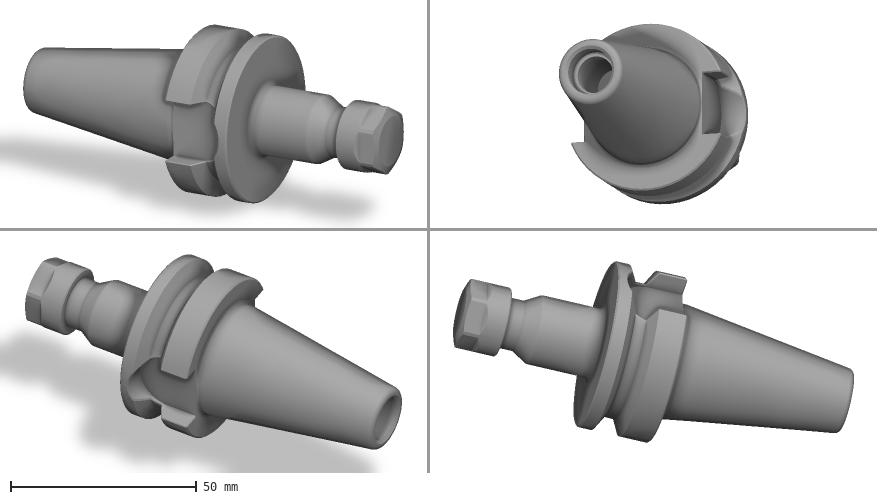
import cadquery as cq
import math

taper_length = 48.3
gauge_diameter = 31.8
taper_ratio = 7 / 24
taper_end_radius = 1.6
flange_root_radius = 0.9

mouth_diameter = 14.0
pilot_diameter = 12.5
pilot_depth = 5.5
mouth_depth = 0.8
thread_diameter = 10.1
thread_depth = 23.8

flange_start = 50.4
flange_end = 70.2
flange_diameter = 46.0
flange_chamfer = 0.4
groove_diameter = 37.5
groove_floor_start = 60.8
groove_floor_end = 63.8
groove_side_angle = 30

slot_width = 16.9
slot_end = 67.6
slot_floor_distance = 16.0
slot_chamfer = 0.3
rim_tolerance = 0.001

nose_diameter = 19.1
nose_root_length = 1.5
nose_root_radius = 1.5
nose_end = 87.6
nose_end_radius = 1.3
neck_start = 92.0
neck_diameter = 14.0

nut_start = 96.4
nut_diameter = nose_diameter
nut_back_chamfer = 0.3
hex_start = 103.1
hex_across_flats = 17.0
nut_face_diameter = 13.8
nut_face_angle = 20
total_length = 108.4

gauge_radius = gauge_diameter / 2
flange_radius = flange_diameter / 2
nose_radius = nose_diameter / 2


def revolve_profile(profile):
    """Close a half profile drawn in (X, radius) and turn it about the X axis."""
    return profile.close().revolve(360, (0, 0, 0), (1, 0, 0))


def make_taper():
    small_radius = gauge_radius - taper_length * taper_ratio / 2
    taper = revolve_profile(
        cq.Workplane("XY")
        .lineTo(0, small_radius)
        .lineTo(taper_length, gauge_radius)
        .lineTo(flange_start, gauge_radius)
        .lineTo(flange_start, 0)
    )
    return taper.faces("<X").edges().fillet(taper_end_radius)


def make_flange():
    groove_depth = flange_radius - groove_diameter / 2
    side_run = groove_depth * math.tan(math.radians(groove_side_angle))
    rim_radius = flange_radius - flange_chamfer
    root_start = flange_start - flange_root_radius
    return revolve_profile(
        cq.Workplane("XY")
        .moveTo(root_start, 0)
        .lineTo(root_start, gauge_radius)
        .radiusArc((flange_start, gauge_radius + flange_root_radius), -flange_root_radius)
        .lineTo(flange_start, rim_radius)
        .lineTo(flange_start + flange_chamfer, flange_radius)
        .lineTo(groove_floor_start - side_run, flange_radius)
        .lineTo(groove_floor_start, groove_diameter / 2)
        .lineTo(groove_floor_end, groove_diameter / 2)
        .lineTo(groove_floor_end + side_run, flange_radius)
        .lineTo(flange_end - flange_chamfer, flange_radius)
        .lineTo(flange_end, rim_radius)
        .lineTo(flange_end, 0)
    )


def make_nose():
    root_end = flange_end + nose_root_length
    nose = revolve_profile(
        cq.Workplane("XY")
        .moveTo(flange_end, 0)
        .lineTo(flange_end, nose_radius + nose_root_radius)
        .radiusArc((root_end, nose_radius), -nose_root_radius)
        .lineTo(nose_end, nose_radius)
        .lineTo(neck_start, neck_diameter / 2)
        .lineTo(nut_start, neck_diameter / 2)
        .lineTo(nut_start, 0)
    )
    shoulder_edge = cq.selectors.NearestToPointSelector((nose_end, 0, 0))
    return nose.edges("%CIRCLE").edges(shoulder_edge).fillet(nose_end_radius)


def make_hexagon(start, across_flats):
    """Hexagon outline square to X, with two of its corners on the Z axis."""
    across_corners = across_flats / math.cos(math.radians(30))
    return (
        cq.Workplane("YZ", origin=(start, 0, 0))
        .transformed(rotate=(0, 0, 90))
        .polygon(6, across_corners)
    )


def make_nut():
    nut_length = total_length - nut_start
    face_chamfer_depth = (nut_diameter - nut_face_diameter) / 2
    face_chamfer_length = face_chamfer_depth * math.tan(math.radians(nut_face_angle))
    barrel = (
        cq.Workplane("YZ", origin=(nut_start, 0, 0))
        .circle(nut_diameter / 2)
        .extrude(nut_length)
        .faces("<X").edges().chamfer(nut_back_chamfer)
        .faces(">X").edges().chamfer(face_chamfer_length, face_chamfer_depth)
    )
    run_out_length = hex_start - nut_start
    run_out = make_hexagon(hex_start, hex_across_flats).extrude(-run_out_length, taper=-45)
    hexagon = make_hexagon(hex_start, hex_across_flats).extrude(total_length - hex_start)
    return barrel.intersect(run_out.union(hexagon))


def make_bore():
    return revolve_profile(
        cq.Workplane("XY")
        .lineTo(0, mouth_diameter / 2)
        .lineTo(mouth_depth, pilot_diameter / 2)
        .lineTo(pilot_depth, pilot_diameter / 2)
        .lineTo(pilot_depth, thread_diameter / 2)
        .lineTo(thread_depth, thread_diameter / 2)
        .lineTo(thread_depth, 0)
    )


def make_drive_slot(side):
    """Round-ended slot cutter, on the +Y side for side = 1 and the -Y side for side = -1."""
    half_width = slot_width / 2
    start = flange_start - flange_root_radius
    return (
        cq.Workplane("XZ", origin=(0, side * slot_floor_distance, 0))
        .moveTo(start, -half_width)
        .lineTo(slot_end - half_width, -half_width)
        .threePointArc((slot_end, 0), (slot_end - half_width, half_width))
        .lineTo(start, half_width)
        .close()
        .extrude(-side * flange_radius)
    )


def is_slot_rim(edge, side):
    """True for an edge where a slot wall meets the outside of the flange."""
    middle = edge.positionAt(0.5)
    half_width = slot_width / 2
    past_arc_center = middle.x - (slot_end - half_width)
    from_slot_axis = math.hypot(max(past_arc_center, 0), middle.z)
    on_wall = abs(from_slot_axis - half_width) < rim_tolerance
    above_floor = side * middle.y > slot_floor_distance + rim_tolerance
    on_seam = abs(past_arc_center) < rim_tolerance
    return on_wall and above_floor and not on_seam


def cut_drive_slot(flange, side):
    """Cut one slot and bevel its rim."""
    slotted = flange.cut(make_drive_slot(side))
    rim = [edge for edge in slotted.edges().vals() if is_slot_rim(edge, side)]
    return slotted.newObject(rim).chamfer(slot_chamfer)


flange = make_flange()
for side in (-1, 1):
    flange = cut_drive_slot(flange, side)

result = make_taper().union(flange).union(make_nose()).union(make_nut()).cut(make_bore())